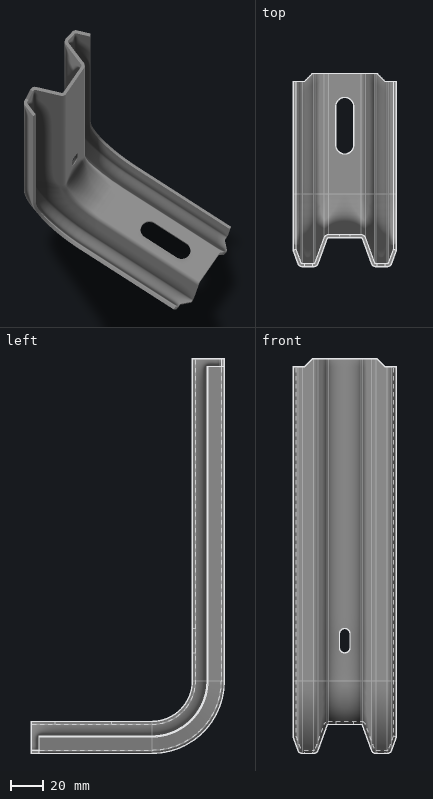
import cadquery as cq
import math

height = 245.0
reach = 120.0
width = 64.19

sheet = 2.0
section_depth = 20.0
wall_angle = math.radians(20.0)
inner_bend_radius = 1.0
outer_bend_radius = inner_bend_radius + sheet
web_flat = 20.0
lip_depth = 10.2

elbow_radius = 45.0

notch_length = 5.0
notch_start = 20.0

upright_slot_width = 6.5
upright_slot_length = 15.0
upright_slot_height = 70.0
foot_slot_width = 11.0
foot_slot_length = 35.0
foot_slot_reach = 87.5

cutter_reach = section_depth + sheet


def rounded_outline(corners):
    """Closed XY wire at the top of the bracket; each corner is (x, y, radius)."""
    count = len(corners)
    outline = None
    for i in range(count):
        x, y, radius = corners[i]
        before = cq.Vector(*corners[i - 1][:2])
        after = cq.Vector(*corners[(i + 1) % count][:2])
        corner = cq.Vector(x, y)
        to_before = (before - corner).normalized()
        to_after = (after - corner).normalized()
        half_angle = to_before.getAngle(to_after) / 2
        setback = radius / math.tan(half_angle)
        arc_start = corner + to_before * setback
        if outline is None:
            outline = cq.Workplane("XY", origin=(0, 0, height)).moveTo(arc_start.x, arc_start.y)
        else:
            outline = outline.lineTo(arc_start.x, arc_start.y)
        if radius > 0:
            bisector = (to_before + to_after).normalized()
            arc_middle = corner + bisector * (radius / math.sin(half_angle) - radius)
            arc_end = corner + to_after * setback
            outline = outline.threePointArc((arc_middle.x, arc_middle.y), (arc_end.x, arc_end.y))
    return outline.close()


def section_outline():
    """Hat section with outward lips: open channels either side of a raised web."""
    lean = math.tan(wall_angle)
    wall_thickness_x = sheet / math.cos(wall_angle)
    bend_setback = outer_bend_radius * math.tan((math.pi / 2 - wall_angle) / 2)

    web_corner = web_flat / 2 + bend_setback
    wall_channel_side = web_corner + section_depth * lean
    wall_outer_side = wall_channel_side - wall_thickness_x
    lip_outer_side = width / 2 - lip_depth * lean
    lip_channel_side = lip_outer_side - wall_thickness_x

    lip_edge_x = width / 2 - sheet * math.cos(wall_angle)
    lip_edge_y = lip_depth + sheet * math.sin(wall_angle)

    web_inside = section_depth - sheet
    half = [
        (web_corner, section_depth, outer_bend_radius),
        (wall_channel_side - sheet * lean, sheet, inner_bend_radius),
        (lip_channel_side + sheet * lean, sheet, inner_bend_radius),
        (lip_edge_x, lip_edge_y, 0),
        (width / 2, lip_depth, 0),
        (lip_outer_side, 0, outer_bend_radius),
        (wall_outer_side, 0, outer_bend_radius),
        (wall_outer_side - web_inside * lean, web_inside, inner_bend_radius),
    ]
    mirrored = [(-x, y, radius) for x, y, radius in reversed(half)]
    return rounded_outline(half + mirrored)


def bent_channel():
    """Sweep the section down the upright, round the elbow and along the foot."""
    elbow_inset = elbow_radius * (1 - math.sqrt(0.5))
    path = (
        cq.Workplane("YZ")
        .moveTo(0, height)
        .lineTo(0, elbow_radius)
        .threePointArc((elbow_inset, elbow_inset), (elbow_radius, 0))
        .lineTo(reach, 0)
    )
    return section_outline().sweep(path)


def end_notches(plane, end):
    """Cutters for both corners of a leg whose free end lies at `end` on the plane's second axis."""
    cutters = cq.Workplane(plane)
    for side in (1, -1):
        cutters = cutters.polyline([
            (side * notch_start, end),
            (side * (notch_start + notch_length), end - notch_length),
            (side * width, end - notch_length),
            (side * width, end),
        ]).close()
    return cutters.extrude(cutter_reach, both=True)


def web_slot(plane, center, slot_width, slot_length):
    """Cutter for a slot running lengthwise in the web."""
    return (
        cq.Workplane(plane)
        .center(0, center)
        .slot2D(slot_length, slot_width, 90)
        .extrude(cutter_reach, both=True)
    )


result = (
    bent_channel()
    .cut(end_notches("XZ", height))
    .cut(end_notches("XY", reach))
    .cut(web_slot("XZ", upright_slot_height, upright_slot_width, upright_slot_length))
    .cut(web_slot("XY", foot_slot_reach, foot_slot_width, foot_slot_length))
)